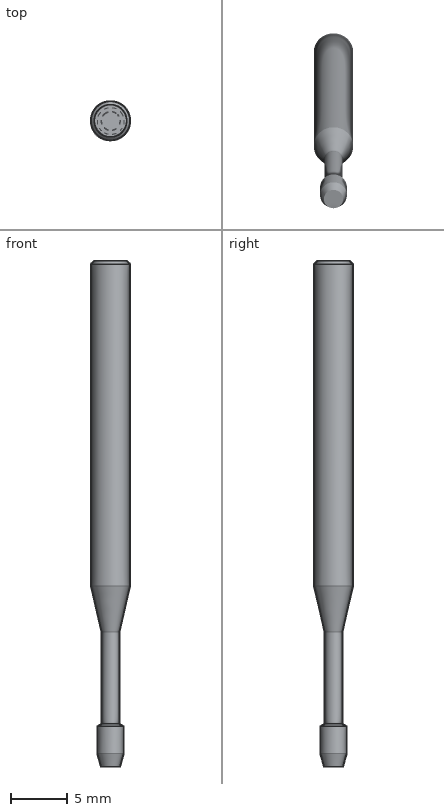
import cadquery as cq

total_length = 45.0
shank_bottom = 16.1
neck_top = 12.0
cutter_top = 3.82
collar_top = 3.6
collar_bottom = 1.2

shank_diameter = 3.5
neck_diameter = 1.6
collar_diameter = 2.4
tip_diameter = 1.7

shank_chamfer = 0.3


def frustum(bottom_diameter, bottom, top_diameter, top):
    """Solid cone section about Z between two heights."""
    return (
        cq.Workplane("XY")
        .workplane(offset=bottom)
        .circle(bottom_diameter / 2)
        .workplane(offset=top - bottom)
        .circle(top_diameter / 2)
        .loft(combine=True)
    )


def cylinder(diameter, bottom, top):
    """Solid cylinder about Z between two heights."""
    return cq.Workplane("XY").workplane(offset=bottom).circle(diameter / 2).extrude(top - bottom)


def make_holder():
    """Chamfered shank that tapers down to a slim neck."""
    shank = cylinder(shank_diameter, shank_bottom, total_length).faces(">Z").chamfer(shank_chamfer)
    taper = frustum(neck_diameter, neck_top, shank_diameter, shank_bottom)
    neck = cylinder(neck_diameter, cutter_top, neck_top)
    return shank.union(taper).union(neck)


def make_cutter():
    """Collar with a conical shoulder and a tapered tip, butted against the neck."""
    collar = cylinder(collar_diameter, collar_bottom, collar_top)
    shoulder = frustum(collar_diameter, collar_top, neck_diameter, cutter_top)
    tip = frustum(tip_diameter, 0, collar_diameter, collar_bottom)
    return collar.union(shoulder).union(tip)


holder = make_holder()
cutter = make_cutter()

result = cq.Compound.makeCompound([holder.val(), cutter.val()])